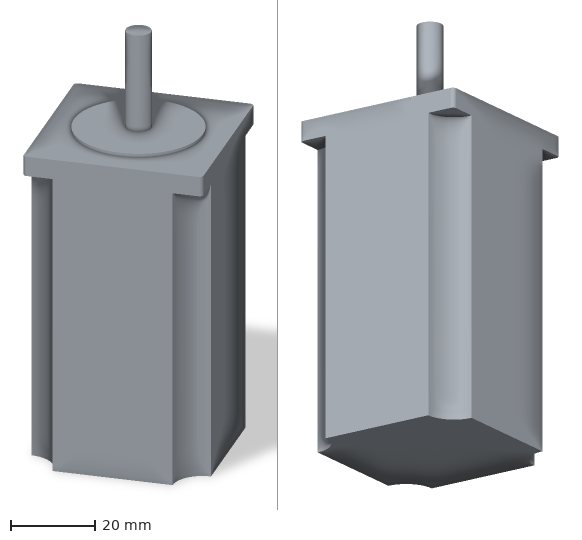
import cadquery as cq

total_height = 107.0
width = 44.4
body_height = 76.0
flange_thickness = 5.0
flange_corner_radius = 1.0
pilot_diameter = 31.9
pilot_height = 1.0
shaft_diameter = 6.3
corner_relief = 7.4

flange_top = body_height + flange_thickness
pilot_top = flange_top + pilot_height


def make_body():
    """Square body with a quarter-round relief down each vertical corner."""
    block = cq.Workplane("XY").rect(width, width).extrude(body_height)
    reliefs = (
        cq.Workplane("XY")
        .rect(width, width, forConstruction=True)
        .vertices()
        .circle(corner_relief)
        .extrude(body_height)
    )
    return block.cut(reliefs)


def make_flange():
    """Full-square mounting flange with rounded vertical corners."""
    return (
        cq.Workplane("XY", origin=(0, 0, body_height))
        .rect(width, width)
        .extrude(flange_thickness)
        .edges("|Z")
        .fillet(flange_corner_radius)
    )


def make_cylinder(diameter, bottom, top):
    """Vertical cylinder on the motor axis."""
    return cq.Workplane("XY", origin=(0, 0, bottom)).circle(diameter / 2).extrude(top - bottom)


pilot = make_cylinder(pilot_diameter, flange_top, pilot_top)
shaft = make_cylinder(shaft_diameter, pilot_top, total_height)

result = make_body().union(make_flange()).union(pilot).union(shaft)